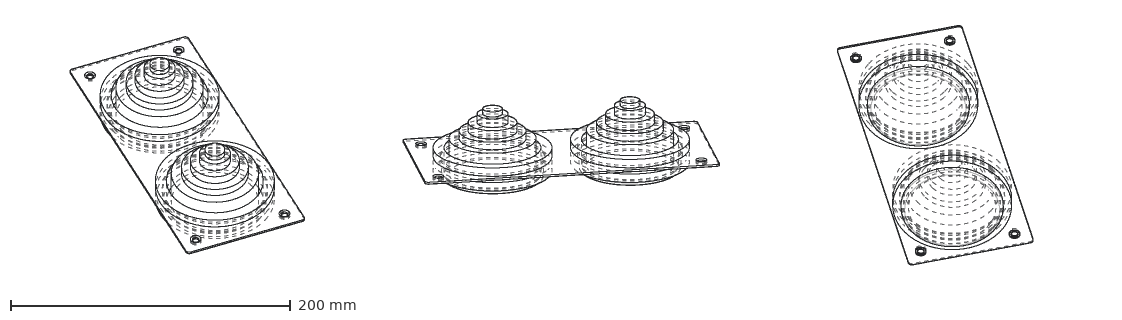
import cadquery as cq

PLATE_LENGTH = 214.0
PLATE_WIDTH = 92.0
PLATE_THICKNESS = 1.5
PLATE_BOTTOM = 14.8
PLATE_TOP = PLATE_BOTTOM + PLATE_THICKNESS
CORNER_RADIUS = 2.5

SCREW_SPACING_X = 191.3
SCREW_SPACING_Y = 69.1
SCREW_HOLE_DIAMETER = 5.0
COUNTERSINK_DIAMETER = 7.7
COUNTERSINK_ANGLE = 120
BOSS_DIAMETER = COUNTERSINK_DIAMETER
BOSS_HEIGHT = 0.6

GROMMET_SPACING = 100.0
NECK_RADIUS = 37.7
FLANGE_RADIUS = 42.5
BASE_RADIUS = 36.5
BASE_FILLET = 2.5
LOWER_FLANGE_BOTTOM = 5.1
LOWER_FLANGE_TOP = 11.5
UPPER_FLANGE_TOP = 22.7

GROOVE_RADIUS = 34.7
GROOVE_BOTTOM = 2.5

CONE_STEPS = [
    (31.2, 29.7),
    (24.0, 35.5),
    (17.5, 42.0),
    (11.1, 48.5),
    (7.0, 52.5),
]


def make_plate():
    """Thin rounded plate with two grommet openings and four countersunk screw holes."""
    plate = (
        cq.Workplane("XY", origin=(0, 0, PLATE_BOTTOM))
        .rect(PLATE_LENGTH, PLATE_WIDTH)
        .extrude(PLATE_THICKNESS)
        .edges("|Z")
        .fillet(CORNER_RADIUS)
    )
    openings = (
        cq.Workplane("XY", origin=(0, 0, PLATE_BOTTOM))
        .rarray(GROMMET_SPACING, 2.1, 2, 1)
        .circle(NECK_RADIUS)
        .extrude(PLATE_THICKNESS)
    )
    bosses = (
        cq.Workplane("XY", origin=(0, 0, PLATE_BOTTOM - BOSS_HEIGHT))
        .rarray(SCREW_SPACING_X, SCREW_SPACING_Y, 2, 2)
        .circle(BOSS_DIAMETER / 2)
        .extrude(BOSS_HEIGHT)
    )
    return (
        plate.cut(openings)
        .union(bosses)
        .faces(">Z")
        .workplane(origin=(0, 0, 0))
        .rarray(SCREW_SPACING_X, SCREW_SPACING_Y, 2, 2)
        .cskHole(SCREW_HOLE_DIAMETER, COUNTERSINK_DIAMETER, COUNTERSINK_ANGLE)
    )


def make_disc(radius, bottom, top):
    """Solid disc on the grommet axis between two heights."""
    return cq.Workplane("XY", origin=(0, 0, bottom)).circle(radius).extrude(top - bottom)


def make_grommet(center_x):
    """Stepped cone standing in a deep groove, with a flange above and below the plate."""
    base = make_disc(BASE_RADIUS, 0, LOWER_FLANGE_BOTTOM).faces("<Z").edges().fillet(BASE_FILLET)
    grommet = (
        base.union(make_disc(FLANGE_RADIUS, LOWER_FLANGE_BOTTOM, LOWER_FLANGE_TOP))
        .union(make_disc(NECK_RADIUS, LOWER_FLANGE_TOP, PLATE_TOP))
        .union(make_disc(FLANGE_RADIUS, PLATE_TOP, UPPER_FLANGE_TOP))
        .cut(make_disc(GROOVE_RADIUS, GROOVE_BOTTOM, UPPER_FLANGE_TOP))
    )
    step_bottom = GROOVE_BOTTOM
    for radius, step_top in CONE_STEPS:
        grommet = grommet.union(make_disc(radius, step_bottom, step_top))
        step_bottom = step_top
    return grommet.translate((center_x, 0, 0))


plate = make_plate()
grommets = [make_grommet(side * GROMMET_SPACING / 2) for side in (-1, 1)]

result = cq.Compound.makeCompound([plate.val(), *[grommet.val() for grommet in grommets]])